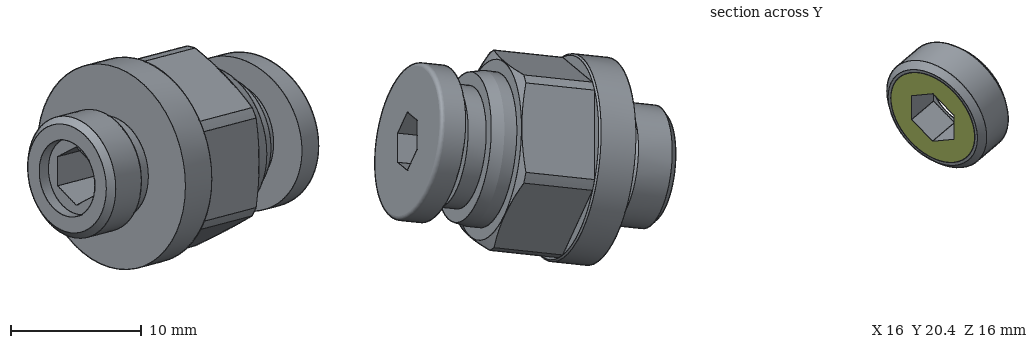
import cadquery as cq

thread_start = 3.8
flange_front = 4.8
flange_rear = 7.8
hex_rear = 13.8
shoulder_taper_start = 14.8
shoulder_rear = 15.8
sleeve_rear = 17.3
collar_front = 18.4
total_length = 20.4

thread_diameter = 9.5
neck_diameter = 8.0
flange_diameter = 16.0
shoulder_diameter = 12.0
shoulder_rear_diameter = 11.59
sleeve_diameter = 9.5
stem_diameter = 7.9

thread_chamfer = 0.5
flange_chamfer = 0.15
collar_fillet = 0.3

hex_flats = 14.0
hex_corner_diameter = 15.69
hex_cone_length = 0.35
hex_cone_diameter = 13.91

collar_width = 14.0
collar_height = 12.0

counterbore_diameter = 6.0
counterbore_depth = 1.0
socket_flats = 4.0


def section_at(y):
    """Workplane normal to the axis at station y, extruding towards +Y."""
    return cq.Workplane(cq.Plane(origin=(0, y, 0), xDir=(1, 0, 0), normal=(0, 1, 0)))


def cylinder(diameter, start, end):
    return section_at(start).circle(diameter / 2).extrude(end - start)


def hex_prism(flats, start, end):
    """Hexagonal prism with two flats facing +X and -X."""
    return section_at(start).polygon(6, flats, circumscribed=True).extrude(end - start)


def threaded_spigot():
    return cylinder(thread_diameter, 0, thread_start).edges().chamfer(thread_chamfer)


def flange():
    return cylinder(flange_diameter, flange_front, flange_rear).faces(">Y").chamfer(flange_chamfer)


def hex_body():
    corner_radius = hex_corner_diameter / 2
    envelope = (
        cq.Workplane("XY")
        .moveTo(0, flange_rear)
        .lineTo(corner_radius, flange_rear)
        .lineTo(corner_radius, hex_rear - hex_cone_length)
        .lineTo(hex_cone_diameter / 2, hex_rear)
        .lineTo(0, hex_rear)
        .close()
        .revolve(360, (0, 0, 0), (0, 1, 0))
    )
    return hex_prism(hex_flats, flange_rear, hex_rear).intersect(envelope)


def shoulder():
    straight = cylinder(shoulder_diameter, hex_rear, shoulder_taper_start)
    taper = (
        section_at(shoulder_taper_start)
        .circle(shoulder_diameter / 2)
        .workplane(offset=shoulder_rear - shoulder_taper_start)
        .circle(shoulder_rear_diameter / 2)
        .loft()
    )
    return straight.union(taper)


def release_collar():
    oval = section_at(collar_front).ellipse(collar_width / 2, collar_height / 2)
    return oval.extrude(total_length - collar_front).faces(">Y").edges().fillet(collar_fillet)


def bore():
    counterbore = cylinder(counterbore_diameter, 0, counterbore_depth)
    return counterbore.union(hex_prism(socket_flats, 0, total_length))


result = (
    threaded_spigot()
    .union(cylinder(neck_diameter, thread_start, flange_front))
    .union(flange())
    .union(hex_body())
    .union(shoulder())
    .union(cylinder(sleeve_diameter, shoulder_rear, sleeve_rear))
    .union(cylinder(stem_diameter, sleeve_rear, collar_front))
    .union(release_collar())
    .cut(bore())
)